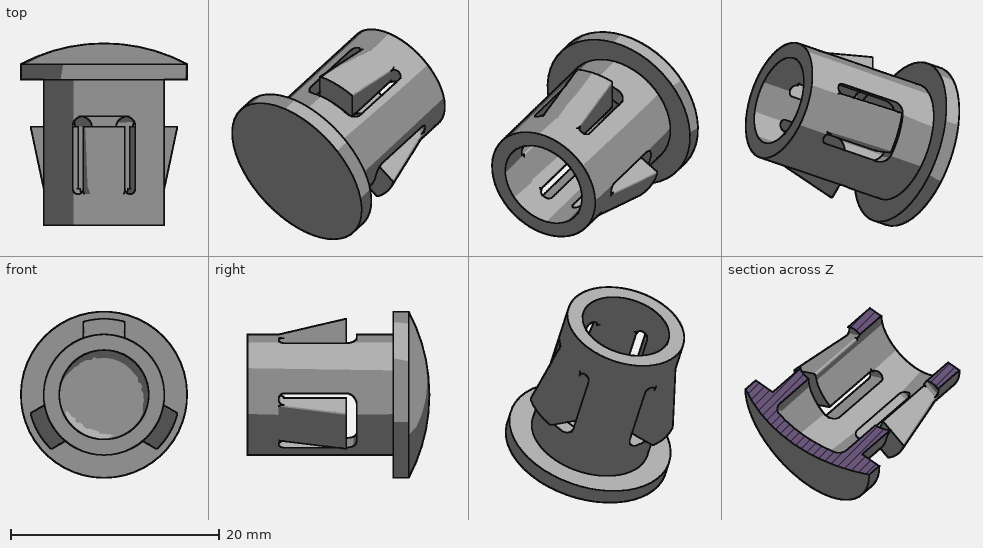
import cadquery as cq
import math


axis_start = (0, 0, 0)
axis_end = (0, 1, 0)
seam_angle = 90

head_radius = 8.0
rim_thickness = 1.5
dome_height = 2.0
dome_radius = (head_radius**2 + dome_height**2) / (2 * dome_height)
dome_tip_y = rim_thickness + dome_height

wall = 1.5
shank_radius = 5.8
shank_length = 14.0
bore_radius = shank_radius - wall
bore_fillet = 1.0

roof_radius = dome_radius - wall
roof_center_y = dome_tip_y - dome_radius
roof_tip_y = roof_center_y + roof_radius
roof_edge_y = roof_center_y + math.sqrt(roof_radius**2 - bore_radius**2)

tab_count = 3
tab_width = 4.0
tab_rise = 1.5
tab_land = 0.1
tab_edge_fillet = 0.2
side_gap = 1.0
end_gap = 1.0
window_start_y = -3.5
window_corner_radius = 1.0
tab_tip_y = window_start_y - end_gap
tab_root_y = -11.0
tab_land_y = tab_tip_y - tab_land
tab_tip_radius = shank_radius + tab_rise
window_width = tab_width + 2 * side_gap
gap_end_radius = side_gap / 2
gap_end_y = tab_root_y + gap_end_radius


def revolve_about_axis(profile):
    """Full turn about Y; the seam of the round faces is moved to -Z, clear of every window."""
    turned = profile.close().revolve(360, axis_start, axis_end)
    return turned.rotate(axis_start, axis_end, seam_angle)


def point_on_sphere(radius, center_y, distance_from_axis):
    height = math.sqrt(radius**2 - distance_from_axis**2)
    return (distance_from_axis, center_y + height)


def make_outer_body():
    dome_middle = point_on_sphere(dome_radius, dome_tip_y - dome_radius, head_radius / 2)
    profile = (
        cq.Workplane("XY")
        .moveTo(0, -shank_length)
        .lineTo(shank_radius, -shank_length)
        .lineTo(shank_radius, 0)
        .lineTo(head_radius, 0)
        .lineTo(head_radius, rim_thickness)
        .threePointArc(dome_middle, (0, dome_tip_y))
    )
    return revolve_about_axis(profile)


def make_bore():
    roof_middle = point_on_sphere(roof_radius, roof_center_y, bore_radius / 2)
    profile = (
        cq.Workplane("XY")
        .moveTo(0, -shank_length)
        .lineTo(bore_radius, -shank_length)
        .lineTo(bore_radius, roof_edge_y)
        .threePointArc(roof_middle, (0, roof_tip_y))
    )
    return revolve_about_axis(profile).faces("%CYLINDER").edges(">Y").fillet(bore_fillet)


def make_window():
    """Opening through the +Z wall; each side gap ends in a half circle beside the tab root."""
    half_window = window_width / 2
    half_tab = tab_width / 2
    gap_middle = half_tab + gap_end_radius
    corner_x = half_window - window_corner_radius
    corner_y = window_start_y - window_corner_radius
    corner_middle = window_corner_radius * math.sqrt(0.5)
    return (
        cq.Workplane("XY")
        .moveTo(-corner_x, window_start_y)
        .lineTo(corner_x, window_start_y)
        .threePointArc((corner_x + corner_middle, corner_y + corner_middle), (half_window, corner_y))
        .lineTo(half_window, gap_end_y)
        .threePointArc((gap_middle, tab_root_y), (half_tab, gap_end_y))
        .lineTo(-half_tab, gap_end_y)
        .threePointArc((-gap_middle, tab_root_y), (-half_window, gap_end_y))
        .lineTo(-half_window, corner_y)
        .threePointArc((-corner_x - corner_middle, corner_y + corner_middle), (-corner_x, window_start_y))
        .close()
        .extrude(head_radius)
    )


def make_tab():
    """Tab on the +Z side: follows the bore inside and flares as a cone to a short land at its tip."""
    flared_ring = revolve_about_axis(
        cq.Workplane("XY")
        .moveTo(bore_radius, tab_root_y)
        .lineTo(shank_radius, tab_root_y)
        .lineTo(tab_tip_radius, tab_land_y)
        .lineTo(tab_tip_radius, tab_tip_y)
        .lineTo(bore_radius, tab_tip_y)
    )
    strip = (
        cq.Workplane("XY")
        .center(0, (tab_root_y + tab_tip_y) / 2)
        .rect(tab_width, tab_tip_y - tab_root_y)
        .extrude(head_radius)
    )
    tab = flared_ring.intersect(strip)
    long_edges = tab.faces("<X or >X").edges("not (<Y or >Y)")
    return long_edges.fillet(tab_edge_fillet)


def make_cap():
    """Tabs are joined without merging faces, which keeps the rounded tab roots valid."""
    cap = make_outer_body().cut(make_bore())
    window = make_window()
    tab = make_tab()
    for index in range(tab_count):
        angle = index * 360 / tab_count
        cap = cap.cut(window.rotate(axis_start, axis_end, angle))
        cap = cap.union(tab.rotate(axis_start, axis_end, angle), clean=False)
    return cap


result = make_cap()